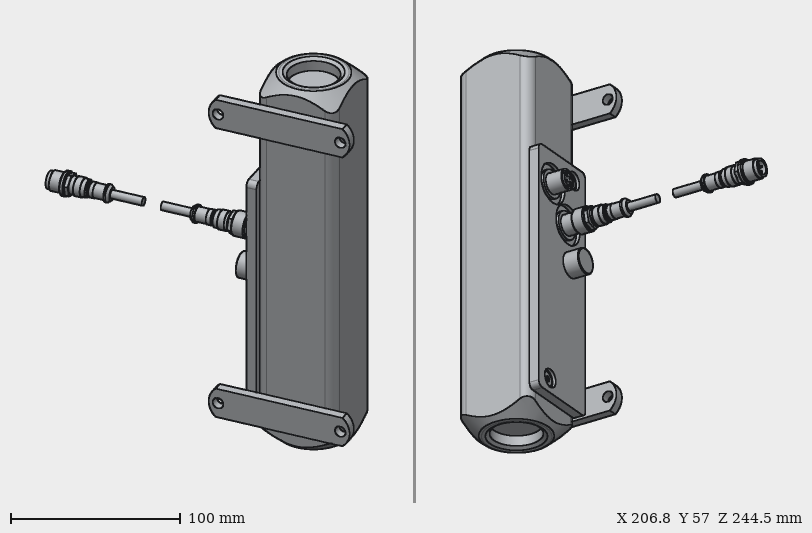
import cadquery as cq
import math

HOUSING_LENGTH = 244.5
HOUSING_WIDTH = 51.0
HOUSING_CORNER_RADIUS = 6.5
HALF_LENGTH = HOUSING_LENGTH / 2
HALF_WIDTH = HOUSING_WIDTH / 2

END_FACE_RADIUS = 20.8
END_EDGE_RADIUS = 22.2
END_EDGE_DROP = 0.2
END_CONE_ANGLE = 41.0
END_CUTTER_RADIUS = HOUSING_WIDTH
WINDOW_RADIUS = 16.0
WINDOW_RIM_RADIUS = 18.3
WINDOW_RIM_DEPTH = 1.7
WINDOW_DEPTH = 8.3

BRACKET_LENGTH = 91.7
BRACKET_HEIGHT = 19.3
BRACKET_THICKNESS = 6.0
BRACKET_END_SAGITTA = 4.6
BRACKET_CENTRE_X = -7.8
BRACKET_OFFSET_Z = 98.3
BRACKET_HOLE_SPACING = 79.5
BRACKET_HOLE_DIAMETER = 6.8

PLATE_WIDTH = 50.4
PLATE_THICKNESS = 6.5
PLATE_CORNER_RADIUS = 3.7
PLATE_TOP_Z = 52.8
PLATE_BOTTOM_Z = -(BRACKET_OFFSET_Z + BRACKET_HEIGHT / 2)
PLATE_FACE_X = -HALF_WIDTH - PLATE_THICKNESS

SCREW_OFFSET_Y = 12.7
SCREW_END_INSET = 9.8
SCREW_BORE_DIAMETER = 11.7
SCREW_BORE_DEPTH = 2.2
SCREW_HEAD_DIAMETER = 9.8
SCREW_HEAD_HEIGHT = 0.5
SCREW_SOCKET_DIAMETER = 3.5
SCREW_SOCKET_DEPTH = 1.2
SCREW_PLACES = [
    (SCREW_OFFSET_Y, PLATE_BOTTOM_Z + SCREW_END_INSET),
    (-SCREW_OFFSET_Y, PLATE_TOP_Z - SCREW_END_INSET),
]

FREE_PORT_PLACE = (9.8, 31.8)
CABLE_PORT_PLACE = (-6.4, 11.2)
PORT_RECESS_DIAMETER = 25.5
PORT_RECESS_DEPTH = 2.5
PORT_FLANGE_DIAMETER = 18.0
PORT_FLANGE_HEIGHT = 1.7
PORT_RADIUS = 6.5
PORT_LENGTH = 10.0
PORT_BORE_RADIUS = 5.5
PORT_BORE_DEPTH = 2.5
PORT_INSERT_RADIUS = 4.2
PORT_INSERT_RISE = 0.7
CONTACT_COUNT = 4
CONTACT_START_ANGLE = 45
CONTACT_CIRCLE_RADIUS = 2.5
CONTACT_HOLE_DIAMETER = 1.7
CONTACT_HOLE_DEPTH = 2.5
PORT_END_X = PLATE_FACE_X - PORT_LENGTH

BUTTON_PLACE = (-9.3, -14.2)
BUTTON_DIAMETER = 16.5
BUTTON_HEIGHT = 10.8
BUTTON_CHAMFER = 0.5

CABLE_RADIUS = 2.7
BOOT_TIP_RADIUS = 4.2
BOOT_COLLAR_RADIUS = 5.6
SLEEVE_RADIUS = 4.6
RIB_RADIUS = 5.0
GROOVE_RADIUS = 4.2
GRIP_RADIUS = 6.0

BOOT_TAPER_END = 2.0
BOOT_COLLAR_END = 3.2
SLEEVE_END = 10.5
RIB_END = 13.5
GROOVE_END = 14.7
FLARE_END = 15.5
GRIP_START = 18.3
GRIP_END = 22.7
BOOT_END = 24.5

NUT_RADIUS = 7.8
NUT_CHAMFER = 0.7
WRENCH_HEX_SIDES = 6
WRENCH_HEX_DIAMETER = 14.7
WRENCH_HEX_LENGTH = 2.5
WRENCH_HEX_ANGLE = 15.0

PORT_PLUG_CABLE_X = -95.3
PORT_PLUG_BOOT_X = -75.5
PORT_PLUG_NECK_RADIUS = 3.5
COUPLING_NUT_X = -47.7
COUPLING_NUT_END_X = -39.0

OVERALL_LENGTH_X = 206.8
PLUG_TIP_X = BRACKET_CENTRE_X + BRACKET_LENGTH / 2 - OVERALL_LENGTH_X
PLUG_TIP_RADIUS = 5.6
PLUG_TIP_LENGTH = 2.5
PLUG_BARREL_RADIUS = 6.4
PLUG_NUT_X = -159.5
PLUG_NUT_END_X = -156.2
PLUG_NECK_RADIUS = 5.6
PLUG_BOOT_X = -128.0
PLUG_CABLE_X = -107.5
PLUG_SOCKET_RADIUS = 4.2
PLUG_SOCKET_DEPTH = 5.0
PIN_DIAMETER = 1.0
PIN_LENGTH = 3.7


def x_disc(start_x, place, diameter, length):
    """Cylinder along +X that starts at start_x, centred on place = (y, z)."""
    return (
        cq.Workplane("YZ", origin=(start_x, place[0], place[1]))
        .circle(diameter / 2)
        .extrude(length)
    )


def x_contacts(start_x, place, diameter, length):
    """Ring of equal contact cylinders along +X around place = (y, z)."""
    return (
        cq.Workplane("YZ", origin=(start_x, place[0], place[1]))
        .polarArray(CONTACT_CIRCLE_RADIUS, CONTACT_START_ANGLE, 360, CONTACT_COUNT)
        .circle(diameter / 2)
        .extrude(length)
    )


def end_cutter():
    """Cutter that forms the cone and the window recess of the +Z end."""
    cone_run = END_CUTTER_RADIUS - END_EDGE_RADIUS
    cone_drop = END_EDGE_DROP + cone_run * math.tan(math.radians(END_CONE_ANGLE))
    cone = (
        cq.Workplane("XZ")
        .moveTo(END_FACE_RADIUS, HALF_LENGTH)
        .lineTo(END_EDGE_RADIUS, HALF_LENGTH - END_EDGE_DROP)
        .lineTo(END_CUTTER_RADIUS, HALF_LENGTH - cone_drop)
        .lineTo(END_CUTTER_RADIUS, HALF_LENGTH)
        .close()
        .revolve(360, (0, 0, 0), (0, 1, 0))
    )
    window = (
        cq.Workplane("XZ")
        .moveTo(0, HALF_LENGTH)
        .lineTo(WINDOW_RIM_RADIUS, HALF_LENGTH)
        .lineTo(WINDOW_RADIUS, HALF_LENGTH - WINDOW_RIM_DEPTH)
        .lineTo(WINDOW_RADIUS, HALF_LENGTH - WINDOW_DEPTH)
        .lineTo(0, HALF_LENGTH - WINDOW_DEPTH)
        .close()
        .revolve(360, (0, 0, 0), (0, 1, 0))
    )
    return cone.union(window)


def make_column():
    column = (
        cq.Workplane("XY")
        .box(HOUSING_WIDTH, HOUSING_WIDTH, HOUSING_LENGTH)
        .edges("|Z")
        .fillet(HOUSING_CORNER_RADIUS)
    )
    cutter = end_cutter()
    return column.cut(cutter).cut(cutter.mirror("XY"))


def make_plate():
    height = PLATE_TOP_Z - PLATE_BOTTOM_Z
    plate = (
        cq.Workplane("YZ", origin=(PLATE_FACE_X, 0, PLATE_BOTTOM_Z + height / 2))
        .rect(PLATE_WIDTH, height)
        .extrude(PLATE_THICKNESS)
        .edges("|X")
        .fillet(PLATE_CORNER_RADIUS)
    )
    for place in SCREW_PLACES:
        plate = plate.cut(x_disc(PLATE_FACE_X, place, SCREW_BORE_DIAMETER, SCREW_BORE_DEPTH))
        head_x = PLATE_FACE_X + SCREW_BORE_DEPTH - SCREW_HEAD_HEIGHT
        plate = plate.union(x_disc(head_x, place, SCREW_HEAD_DIAMETER, SCREW_HEAD_HEIGHT))
        plate = plate.cut(x_disc(head_x, place, SCREW_SOCKET_DIAMETER, SCREW_SOCKET_DEPTH))
    for place in (FREE_PORT_PLACE, CABLE_PORT_PLACE):
        plate = plate.cut(x_disc(PLATE_FACE_X, place, PORT_RECESS_DIAMETER, PORT_RECESS_DEPTH))
    return plate


def make_port(place):
    """Barrel with a flange, an open bore and a contact insert in the bore."""
    recess_floor_x = PLATE_FACE_X + PORT_RECESS_DEPTH
    flange_x = recess_floor_x - PORT_FLANGE_HEIGHT
    insert_x = PORT_END_X - PORT_INSERT_RISE
    insert_length = PORT_INSERT_RISE + PORT_BORE_DEPTH
    port = x_disc(PORT_END_X, place, 2 * PORT_RADIUS, recess_floor_x - PORT_END_X)
    port = port.union(x_disc(flange_x, place, PORT_FLANGE_DIAMETER, PORT_FLANGE_HEIGHT))
    port = port.cut(x_disc(PORT_END_X, place, 2 * PORT_BORE_RADIUS, PORT_BORE_DEPTH))
    port = port.union(x_disc(insert_x, place, 2 * PORT_INSERT_RADIUS, insert_length))
    return port.cut(x_contacts(insert_x, place, CONTACT_HOLE_DIAMETER, CONTACT_HOLE_DEPTH))


def make_button():
    button = x_disc(PLATE_FACE_X - BUTTON_HEIGHT, BUTTON_PLACE, BUTTON_DIAMETER, BUTTON_HEIGHT)
    return button.faces("<X").chamfer(BUTTON_CHAMFER)


def make_housing():
    housing = make_column().union(make_plate()).union(make_button())
    for place in (FREE_PORT_PLACE, CABLE_PORT_PLACE):
        housing = housing.union(make_port(place))
    return housing


def make_bracket(centre_z):
    half_length = BRACKET_LENGTH / 2
    half_height = BRACKET_HEIGHT / 2
    shoulder = half_length - BRACKET_END_SAGITTA
    return (
        cq.Workplane("XZ", origin=(BRACKET_CENTRE_X, -HALF_WIDTH, centre_z))
        .moveTo(-shoulder, -half_height)
        .lineTo(shoulder, -half_height)
        .threePointArc((half_length, 0), (shoulder, half_height))
        .lineTo(-shoulder, half_height)
        .threePointArc((-half_length, 0), (-shoulder, -half_height))
        .close()
        .pushPoints([(-BRACKET_HOLE_SPACING / 2, 0), (BRACKET_HOLE_SPACING / 2, 0)])
        .circle(BRACKET_HOLE_DIAMETER / 2)
        .extrude(BRACKET_THICKNESS)
    )


def cable_disc(start_x, radius, end_x):
    """Cylinder on the cable axis between two X places."""
    return x_disc(start_x, CABLE_PORT_PLACE, 2 * radius, end_x - start_x)


def make_nut(start_x, end_x):
    """Round nut on the cable axis, chamfered at both rims."""
    return cable_disc(start_x, NUT_RADIUS, end_x).edges().chamfer(NUT_CHAMFER)


def make_boot(cable_x, boot_x):
    """Cable end and its stepped boot, which grows away from the cable along the cable axis."""
    axis_y, axis_z = CABLE_PORT_PLACE
    away = math.copysign(1, boot_x - cable_x)
    steps = [
        (0, BOOT_TIP_RADIUS),
        (BOOT_TAPER_END, BOOT_COLLAR_RADIUS),
        (BOOT_COLLAR_END, BOOT_COLLAR_RADIUS),
        (BOOT_COLLAR_END, SLEEVE_RADIUS),
        (SLEEVE_END, SLEEVE_RADIUS),
        (SLEEVE_END, RIB_RADIUS),
        (RIB_END, RIB_RADIUS),
        (RIB_END, GROOVE_RADIUS),
        (GROOVE_END, GROOVE_RADIUS),
        (GROOVE_END, RIB_RADIUS),
        (FLARE_END, BOOT_COLLAR_RADIUS),
        (GRIP_START, BOOT_COLLAR_RADIUS),
        (GRIP_START, GRIP_RADIUS),
        (GRIP_END, GRIP_RADIUS),
        (GRIP_END, BOOT_COLLAR_RADIUS),
        (BOOT_END, BOOT_COLLAR_RADIUS),
    ]
    outline = [(boot_x + away * distance, radius) for distance, radius in steps]
    boot_end_x = boot_x + away * BOOT_END
    return (
        cq.Workplane("XZ", origin=(0, axis_y, axis_z))
        .moveTo(cable_x, 0)
        .lineTo(cable_x, CABLE_RADIUS)
        .lineTo(boot_x, CABLE_RADIUS)
        .polyline(outline, includeCurrent=True)
        .lineTo(boot_end_x, 0)
        .close()
        .revolve(360, (0, 0, 0), (1, 0, 0))
    )


def wrench_hex(start_x, turn_angle):
    """Hexagonal shoulder along +X on the cable axis, turned about that axis."""
    axis_y, axis_z = CABLE_PORT_PLACE
    return (
        cq.Workplane("YZ", origin=(start_x, axis_y, axis_z))
        .transformed(rotate=(0, 0, turn_angle))
        .polygon(WRENCH_HEX_SIDES, WRENCH_HEX_DIAMETER)
        .extrude(WRENCH_HEX_LENGTH)
    )


def make_loose_plug():
    """Free end of the cable, with a male plug that points to -X."""
    barrel_x = PLUG_TIP_X + PLUG_TIP_LENGTH
    socket_floor_x = PLUG_TIP_X + PLUG_SOCKET_DEPTH
    pin_start_x = socket_floor_x - PIN_LENGTH
    plug = (
        make_boot(PLUG_CABLE_X, PLUG_BOOT_X)
        .union(cable_disc(PLUG_NUT_END_X, PLUG_NECK_RADIUS, PLUG_BOOT_X - BOOT_END))
        .union(wrench_hex(PLUG_NUT_END_X, -WRENCH_HEX_ANGLE))
        .union(make_nut(PLUG_NUT_X, PLUG_NUT_END_X))
        .union(cable_disc(barrel_x, PLUG_BARREL_RADIUS, PLUG_NUT_X))
        .union(cable_disc(PLUG_TIP_X, PLUG_TIP_RADIUS, barrel_x))
        .cut(cable_disc(PLUG_TIP_X, PLUG_SOCKET_RADIUS, socket_floor_x))
    )
    outer_pins = x_contacts(pin_start_x, CABLE_PORT_PLACE, PIN_DIAMETER, PIN_LENGTH)
    centre_pin = cable_disc(pin_start_x, PIN_DIAMETER / 2, socket_floor_x)
    return plug.union(outer_pins).union(centre_pin)


def make_port_plug(housing):
    """Cable end whose coupling nut is hollowed to fit the end of the cable port."""
    hex_x = COUPLING_NUT_X - WRENCH_HEX_LENGTH
    return (
        make_boot(PORT_PLUG_CABLE_X, PORT_PLUG_BOOT_X)
        .union(cable_disc(PORT_PLUG_BOOT_X + BOOT_END, PORT_PLUG_NECK_RADIUS, hex_x))
        .union(wrench_hex(hex_x, WRENCH_HEX_ANGLE))
        .union(make_nut(COUPLING_NUT_X, COUPLING_NUT_END_X))
        .cut(housing)
    )


housing = make_housing()
brackets = [make_bracket(side * BRACKET_OFFSET_Z) for side in (-1, 1)]
loose_plug = make_loose_plug()
port_plug = make_port_plug(housing)

result = cq.Compound.makeCompound([
    housing.val(),
    *[bracket.val() for bracket in brackets],
    port_plug.val(),
    loose_plug.val(),
])